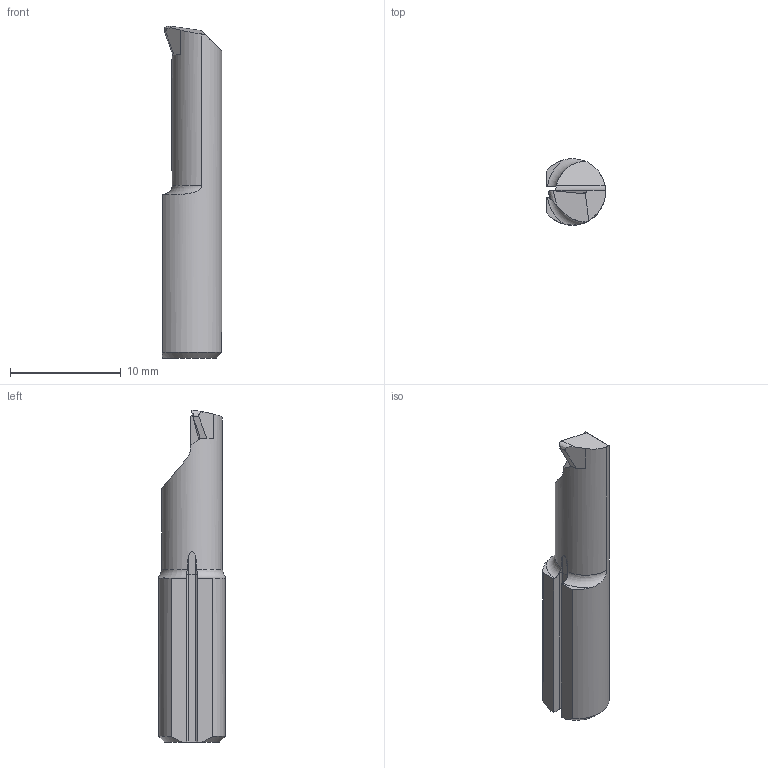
import cadquery as cq
import math

shank_radius = 3.0
shank_flat_x = -2.35
shank_chamfer = 0.5
total_height = 30.0

neck_radius = 2.75
neck_center_x = 1.25
shoulder_z = 14.8
shoulder_fillet = 0.8

slot_width = 1.0
slot_floor_x = -1.39
slot_corner_radius = 0.2
slot_bend_z = 15.1
slot_exit_angle = 3.0

gash_face_y = 0.13
gash_base_z = 22.9
gash_angle = 50.0
gash_fillet = 1.8

head_base_z = 27.42
nose_x = -2.2
nose_radius = 0.4
top_edge_angle = 7.5
flank_angle = 16.0
clearance_shift_x = 0.25
clearance_shift_z = -0.15
back_chamfer_top_x = 1.19
back_chamfer_top_z = 29.55

rake_edge_y = 0.1
rake_slope_x = -0.054
rake_slope_z = 0.32
notch_root_x = -1.44
notch_root_z = 27.4
notch_floor_climb = 0.82
notch_floor_fall = 0.55
notch_fillet = 0.2

reach = 10.0
overrun = 1.0


def oblique_prism(outline, direction):
    """Solid swept straight from a closed planar outline along a slanted direction."""
    return cq.Workplane(obj=cq.Solid.extrudeLinear(outline.val(), [], cq.Vector(*direction)))


def make_shank():
    """Full-height round bar, chamfered at the foot and flatted on -X."""
    bar = cq.Workplane("XY").circle(shank_radius).extrude(total_height + overrun)
    bar = bar.faces("<Z").chamfer(shank_chamfer)
    flat_cut = cq.Workplane("XY").box(reach, reach, 2 * total_height + reach, centered=(True, True, False))
    return bar.cut(flat_cut.translate((shank_flat_x - reach / 2, 0, -overrun)))


def make_neck_cutter():
    """Ring around the eccentric neck, with a concave blend at the shoulder."""
    blend_end = neck_radius + shoulder_fillet
    diagonal = shoulder_fillet * math.sqrt(0.5)
    fillet_middle = (blend_end - diagonal, shoulder_z + shoulder_fillet - diagonal)
    top_z = total_height + reach
    profile = (
        cq.Workplane("XZ")
        .moveTo(neck_radius, top_z)
        .lineTo(neck_radius, shoulder_z + shoulder_fillet)
        .threePointArc(fillet_middle, (blend_end, shoulder_z))
        .lineTo(reach, shoulder_z)
        .lineTo(reach, top_z)
        .close()
    )
    return profile.revolve(360, (0, 0, 0), (0, 1, 0)).translate((neck_center_x, 0, 0))


def make_head_wedge():
    """Block beside the neck that carries the cutting tip, bounded by a 45 degree tangent plane."""
    diagonal = neck_radius * math.sqrt(0.5)
    tangent_x = neck_center_x - diagonal
    tangent_y = -diagonal
    wedge_x = shank_flat_x - overrun
    wedge_y = tangent_y + (tangent_x - wedge_x)
    return (
        cq.Workplane("XY", origin=(0, 0, head_base_z))
        .polyline([
            (tangent_x, tangent_y),
            (wedge_x, wedge_y),
            (wedge_x, gash_face_y),
            (neck_center_x, gash_face_y),
            (neck_center_x, tangent_y),
        ])
        .close()
        .extrude(total_height + overrun - head_base_z)
    )


def rake_y(x, z):
    """Y position of the rake plane, which passes through the nose tip."""
    return rake_edge_y + rake_slope_x * (x - nose_x) + rake_slope_z * (z - total_height)


def make_tip_envelope():
    """Tip profile with a rounded nose, slanted along -Y for clearance under both edges."""
    top = math.radians(top_edge_angle)
    flank = math.radians(flank_angle)
    center_x = nose_x + nose_radius
    center_z = total_height - nose_radius
    top_tangent = (center_x + nose_radius * math.sin(top), center_z + nose_radius * math.cos(top))
    flank_tangent = (center_x - nose_radius * math.cos(flank), center_z - nose_radius * math.sin(flank))
    middle = (math.pi + flank + math.pi / 2 - top) / 2
    nose_middle = (center_x + nose_radius * math.cos(middle), center_z + nose_radius * math.sin(middle))
    right_z = top_tangent[1] - (reach - top_tangent[0]) * math.tan(top)
    foot_z = head_base_z - overrun
    foot_x = flank_tangent[0] + (flank_tangent[1] - foot_z) * math.tan(flank)
    outline = (
        cq.Workplane("XZ", origin=(0, rake_y(center_x, total_height), 0))
        .moveTo(*flank_tangent)
        .threePointArc(nose_middle, top_tangent)
        .lineTo(reach, right_z)
        .lineTo(reach, foot_z)
        .lineTo(foot_x, foot_z)
        .close()
        .wire()
    )
    clearance = cq.Vector(clearance_shift_x, -1.0, clearance_shift_z)
    depth = 2 * shank_radius
    return oblique_prism(outline, (clearance * depth).toTuple()).translate(clearance * -overrun)


def make_gash():
    """Cutter for the +Y side of the tip: steep ramp blending into an upright face."""
    ramp_angle = math.radians(gash_angle)
    corner_z = gash_base_z + (neck_radius - gash_face_y) * math.tan(ramp_angle)
    outer_z = corner_z - (reach - gash_face_y) * math.tan(ramp_angle)
    top_z = total_height + reach
    cutter = (
        cq.Workplane("YZ", origin=(-reach, 0, 0))
        .polyline([(gash_face_y, top_z), (gash_face_y, corner_z), (reach, outer_z), (reach, top_z)])
        .close()
        .extrude(2 * reach)
    )
    corner = cq.selectors.NearestToPointSelector((0, gash_face_y, corner_z))
    return cutter.edges(corner).fillet(gash_fillet)


def make_rake_notch():
    """V groove between the rake plane and its climbing floor, rounded along the root."""
    start_x = nose_x - overrun
    length = shank_radius - start_x
    climb = notch_floor_climb * length
    root_z = notch_root_z - notch_floor_climb * (notch_root_x - start_x)
    root_y = rake_y(start_x, root_z)
    top_z = total_height + overrun
    outer_y = rake_y(start_x, top_z)
    outline = (
        cq.Workplane("YZ", origin=(start_x, 0, 0))
        .polyline([
            (root_y, root_z),
            (outer_y, root_z - notch_floor_fall * (outer_y - root_y)),
            (outer_y, top_z),
        ])
        .close()
        .wire()
    )
    end_y = rake_y(start_x + length, root_z + climb)
    groove = oblique_prism(outline, (length, end_y - root_y, climb))
    root_middle = (start_x + length / 2, (root_y + end_y) / 2, root_z + climb / 2)
    return groove.edges(cq.selectors.NearestToPointSelector(root_middle)).fillet(notch_fillet)


def make_back_chamfer():
    """45 degree cut across the back of the head."""
    return (
        cq.Workplane("XZ", origin=(0, reach, 0))
        .polyline([
            (back_chamfer_top_x - reach, back_chamfer_top_z + reach),
            (back_chamfer_top_x + reach, back_chamfer_top_z - reach),
            (back_chamfer_top_x + reach, back_chamfer_top_z + reach),
        ])
        .close()
        .extrude(2 * reach)
    )


def make_slot():
    """Slot cutter with rounded floor corners; its floor ramps outward above the bend."""
    outer_x = -shank_radius - overrun
    exit_z = slot_bend_z + (slot_floor_x - outer_x) / math.tan(math.radians(slot_exit_angle))
    cutter = (
        cq.Workplane("XZ", origin=(0, slot_width / 2, 0))
        .polyline([
            (outer_x, -overrun),
            (slot_floor_x, -overrun),
            (slot_floor_x, slot_bend_z),
            (outer_x, exit_z),
        ])
        .close()
        .extrude(slot_width)
    )
    return cutter.edges("not |Y").edges("not <X").edges("not <Z").fillet(slot_corner_radius)


def make_lower_space():
    """Everything below the underside of the cutting head."""
    return cq.Workplane("XY").box(2 * reach, 2 * reach, head_base_z, centered=(True, True, False))


bar = make_shank().cut(make_neck_cutter())
lower_bar = bar.intersect(make_lower_space())
head = bar.cut(make_lower_space()).union(make_head_wedge()).intersect(make_tip_envelope())

result = lower_bar.union(head)
for cutter in (make_gash(), make_back_chamfer(), make_rake_notch(), make_slot()):
    result = result.cut(cutter)